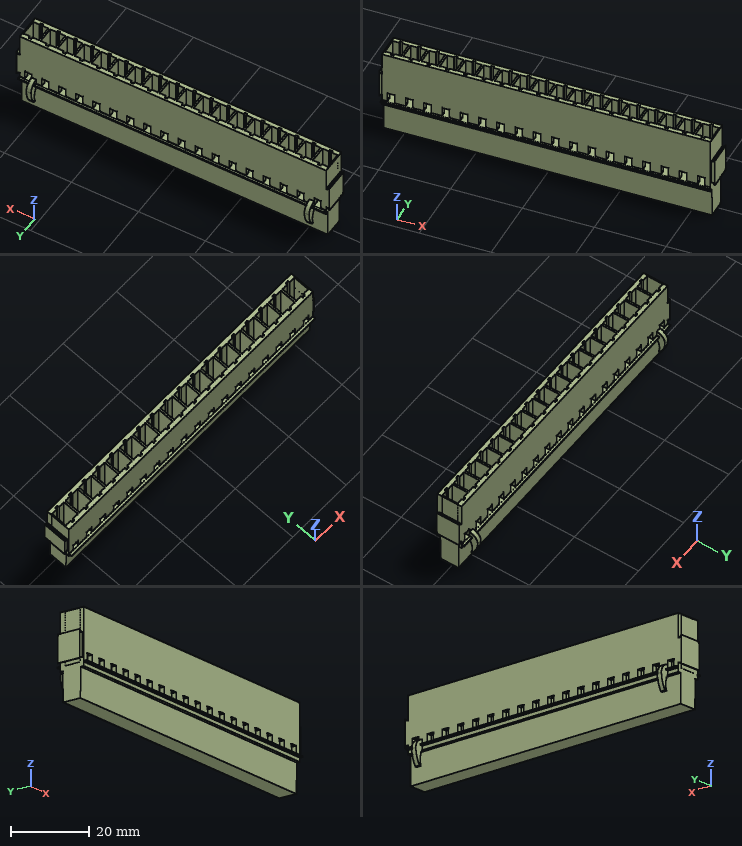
import cadquery as cq


PITCH = 5.08
POSITIONS = 18
LENGTH = POSITIONS * PITCH

HEIGHT = 24.55
BODY_DEPTH = 7.6
BODY_BOTTOM = 8.45
BACK_FACE = BODY_DEPTH / 2

BLOCK_HALF_DEPTH = 2.86
BLOCK_FRONT_DRAFT = 0.15

FLANGE_OVERHANG = 0.85
FLANGE_DEPTH = BODY_DEPTH + 2 * FLANGE_OVERHANG
FLANGE_THICKNESS = 0.28
FLANGE_TOP = 9.88

CELL_WIDTH = 4.5
CELL_DEPTH = 4.8
CELL_FLOOR = FLANGE_TOP
GROOVE_WIDTH = 0.8
GROOVE_DEPTH = 0.55

WINDOW_WIDTH = 2.0
WINDOW_HEIGHT = 2.55

TAB_REACH = 1.0
TAB_FOOT = 0.4
TAB_BOTTOM = 10.43
TAB_HEIGHT = 7.9
TAB_FLARE = 0.55
TAB_FRONT_SETBACK = 0.57

LATCH_WIDTH = 1.4
LATCH_INSET = 4.22
LATCH_REACH = 2.55
LATCH_SHOULDER_RADIUS = 2.8
LATCH_SHOULDER_HEIGHT = 8.55
LATCH_TIP_HEIGHT = 3.97
LATCH_TIP_OUTER = 1.13
LATCH_TIP_INNER = 0.57
LATCH_THROAT_REACH = 0.84
LATCH_THROAT_HEIGHT = 6.3


def bar(length, depth, bottom, top):
    """Block centred on X and Y between two heights."""
    return cq.Workplane("XY", origin=(0, 0, bottom)).box(
        length, depth, top - bottom, centered=(True, True, False)
    )


def make_lower_block():
    front_bottom = -BLOCK_HALF_DEPTH + BLOCK_FRONT_DRAFT
    outline = [
        (front_bottom, 0),
        (BLOCK_HALF_DEPTH, 0),
        (BLOCK_HALF_DEPTH, BODY_BOTTOM),
        (-BLOCK_HALF_DEPTH, BODY_BOTTOM),
    ]
    return cq.Workplane("YZ").polyline(outline).close().extrude(LENGTH / 2, both=True)


def make_end_tab():
    """Tab on the +X end face."""
    end = LENGTH / 2
    top = TAB_BOTTOM + TAB_HEIGHT
    foot_bottom = TAB_BOTTOM + TAB_FLARE
    foot_top = top - TAB_FLARE
    outline = [
        (end, foot_bottom),
        (end + TAB_FOOT, foot_bottom),
        (end + TAB_REACH, TAB_BOTTOM),
        (end + TAB_REACH, top),
        (end + TAB_FOOT, foot_top),
        (end, foot_top),
    ]
    depth = BODY_DEPTH - TAB_FRONT_SETBACK
    tab_plane = cq.Workplane("XZ", origin=(0, BACK_FACE, 0))
    return tab_plane.polyline(outline).close().extrude(depth)


def make_latch():
    """Latch near the +X end: a round shoulder running into a long curved finger."""
    shoulder_y = BACK_FACE + LATCH_REACH - LATCH_SHOULDER_RADIUS
    shoulder_top = (shoulder_y, LATCH_SHOULDER_HEIGHT + LATCH_SHOULDER_RADIUS)
    outermost = (BACK_FACE + LATCH_REACH, LATCH_SHOULDER_HEIGHT)
    tip_outer = (BACK_FACE + LATCH_TIP_OUTER, LATCH_TIP_HEIGHT)
    tip_inner = (BACK_FACE + LATCH_TIP_INNER, LATCH_TIP_HEIGHT)
    throat = (BACK_FACE + LATCH_THROAT_REACH, LATCH_THROAT_HEIGHT)
    root = (BACK_FACE, BODY_BOTTOM)

    latch_plane = cq.Workplane("YZ", origin=(LENGTH / 2 - LATCH_INSET, 0, 0))
    profile = (
        latch_plane.moveTo(*shoulder_top)
        .radiusArc(outermost, LATCH_SHOULDER_RADIUS)
        .tangentArcPoint(tip_outer, relative=False)
        .lineTo(*tip_inner)
        .threePointArc(throat, root)
        .lineTo(shoulder_y, BODY_BOTTOM)
        .close()
    )
    return profile.extrude(LATCH_WIDTH / 2, both=True)


def make_cell_cutter():
    """One cell with its grooves and windows, centred on X = 0."""
    cell = bar(CELL_WIDTH, CELL_DEPTH, CELL_FLOOR, HEIGHT)
    grooves = bar(GROOVE_WIDTH, CELL_DEPTH + 2 * GROOVE_DEPTH, CELL_FLOOR, HEIGHT)
    windows = bar(WINDOW_WIDTH, BODY_DEPTH, CELL_FLOOR, CELL_FLOOR + WINDOW_HEIGHT)
    return cell.union(grooves).union(windows)


def make_part():
    part = bar(LENGTH, BODY_DEPTH, BODY_BOTTOM, HEIGHT)
    part = part.union(make_lower_block())
    part = part.union(bar(LENGTH, FLANGE_DEPTH, FLANGE_TOP - FLANGE_THICKNESS, FLANGE_TOP))
    for end_feature in (make_end_tab(), make_latch()):
        part = part.union(end_feature).union(end_feature.mirror("YZ"))

    cell_cutter = make_cell_cutter()
    first_cell = (PITCH - LENGTH) / 2
    for position in range(POSITIONS):
        part = part.cut(cell_cutter.translate((first_cell + position * PITCH, 0, 0)))
    return part


result = make_part()